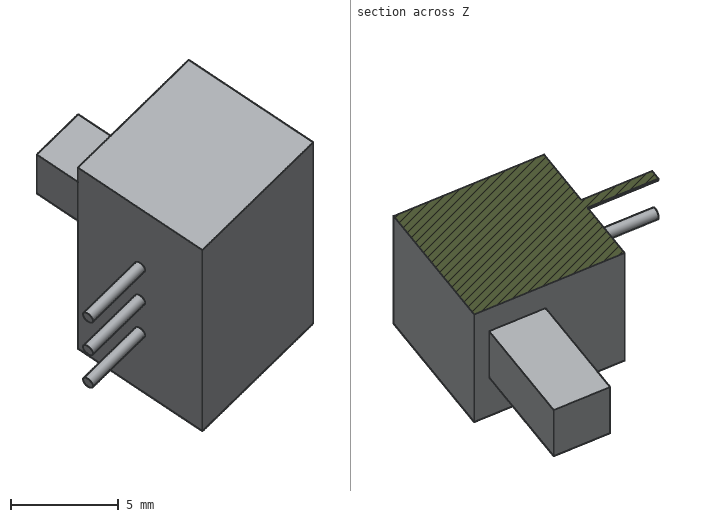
import cadquery as cq

body_width = 7.5
body_depth = 8.1
body_height = 14.1

lever_length = 5.99
lever_side = 3.03
lever_back_gap = 0.8
lever_bottom_gap = 2.54

pin_diameter = 0.6
pin_length = 3.8
pin_pitch = 2.54
pin_count = 3

body = cq.Workplane("XY").box(body_width, body_depth, body_height)

lever_y = body_depth / 2 - lever_back_gap - lever_side / 2
lever_z = -body_height / 2 + lever_bottom_gap + lever_side / 2
lever = (
    cq.Workplane("XY")
    .box(lever_length, lever_side, lever_side)
    .translate((-(body_width + lever_length) / 2, lever_y, lever_z))
)

pins = (
    cq.Workplane("XZ", origin=(0, -body_depth / 2, 0))
    .rarray(0.14, pin_pitch, 1, pin_count)
    .circle(pin_diameter / 2)
    .extrude(pin_length)
)

result = body.union(lever).union(pins)